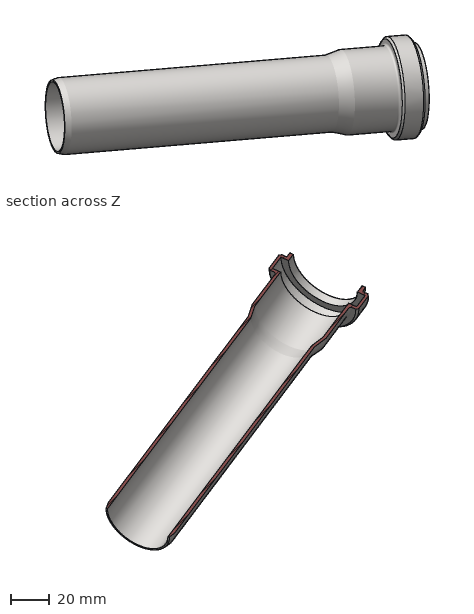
import cadquery as cq

length = 195.0
wall = 2.0

pipe_radius = 40.2 / 2
socket_radius = 44.7 / 2
lip_radius = 45.8 / 2
collar_radius = 54.0 / 2

end_bevel_length = 3.5
end_bevel_depth = 1.0

shoulder_start = 147.2
shoulder_end = 155.2
collar_start = 179.5
collar_end = 191.9
collar_bevel = 1.2
collar_fillet = 1.2
mouth_bevel_start = 193.0
mouth_bevel_depth = 0.2

bore_radius = 36.3 / 2
socket_bore_radius = socket_radius - wall
mouth_bore_radius = 41.1 / 2
groove_radius = 50.3 / 2
groove_start = collar_start + wall
groove_end = collar_end - wall


def revolve_about_y(profile):
    return profile.close().revolve(360, (0, 0, 0), (0, 1, 0))


def outer_body():
    profile = (
        cq.Workplane("XY")
        .lineTo(pipe_radius - end_bevel_depth, 0)
        .lineTo(pipe_radius, end_bevel_length)
        .lineTo(pipe_radius, shoulder_start)
        .lineTo(socket_radius, shoulder_end)
        .lineTo(socket_radius, collar_start - collar_fillet)
        .radiusArc((socket_radius + collar_fillet, collar_start), collar_fillet)
        .lineTo(collar_radius - collar_bevel, collar_start)
        .lineTo(collar_radius, collar_start + collar_bevel)
        .lineTo(collar_radius, collar_end - collar_bevel)
        .lineTo(collar_radius - collar_bevel, collar_end)
        .lineTo(lip_radius, collar_end)
        .lineTo(lip_radius, mouth_bevel_start)
        .lineTo(lip_radius - mouth_bevel_depth, length)
        .lineTo(0, length)
    )
    return revolve_about_y(profile)


def hollow():
    profile = (
        cq.Workplane("XY")
        .lineTo(bore_radius, 0)
        .lineTo(bore_radius, shoulder_start)
        .lineTo(socket_bore_radius, shoulder_end)
        .lineTo(socket_bore_radius, groove_start)
        .lineTo(groove_radius, groove_start)
        .lineTo(groove_radius, groove_end)
        .lineTo(mouth_bore_radius, groove_end)
        .lineTo(mouth_bore_radius, length)
        .lineTo(0, length)
    )
    return revolve_about_y(profile)


result = outer_body().cut(hollow())